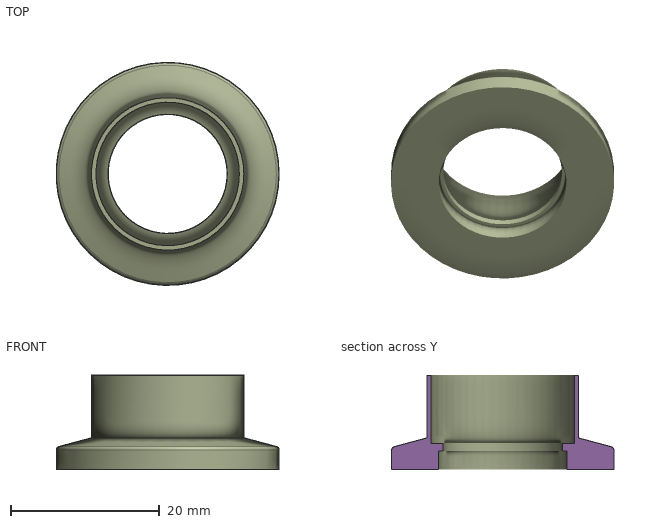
import cadquery as cq
import math

flange_diameter = 30.0
rim_height = 2.6
rim_fillet = 0.5
cone_angle = 15.0

total_height = 12.7
tube_diameter = 20.5
tube_bore_diameter = 19.3

hole_diameter = 16.0
recess_diameter = 17.2
recess_depth = 2.5
ledge_height = 3.5

flange_radius = flange_diameter / 2
tube_radius = tube_diameter / 2
slope = math.radians(cone_angle)

fillet_center_x = flange_radius - rim_fillet
fillet_end = (
    fillet_center_x + rim_fillet * math.sin(slope),
    rim_height + rim_fillet * math.cos(slope),
)
fillet_mid_angle = (math.pi / 2 - slope) / 2
fillet_mid = (
    fillet_center_x + rim_fillet * math.cos(fillet_mid_angle),
    rim_height + rim_fillet * math.sin(fillet_mid_angle),
)
cone_top = fillet_end[1] + (fillet_end[0] - tube_radius) * math.tan(slope)


def solid_body():
    """Revolve the outer outline of flange and tube about Z."""
    return (
        cq.Workplane("XZ")
        .lineTo(flange_radius, 0)
        .lineTo(flange_radius, rim_height)
        .threePointArc(fillet_mid, fillet_end)
        .lineTo(tube_radius, cone_top)
        .lineTo(tube_radius, total_height)
        .lineTo(0, total_height)
        .close()
        .revolve(360, (0, 0, 0), (0, 1, 0))
    )


def bore(diameter, bottom, top):
    """Cylinder on the Z axis between two heights."""
    return cq.Workplane("XY").workplane(offset=bottom).circle(diameter / 2).extrude(top - bottom)


result = (
    solid_body()
    .cut(bore(hole_diameter, 0, total_height))
    .cut(bore(tube_bore_diameter, ledge_height, total_height))
    .cut(bore(recess_diameter, 0, recess_depth))
)